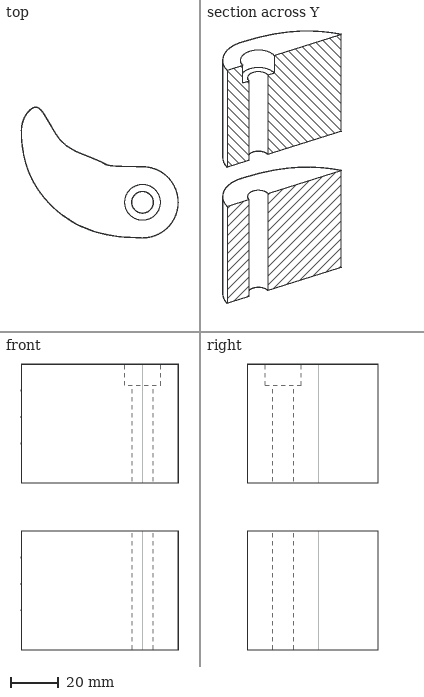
import cadquery as cq

TOTAL_HEIGHT = 120.0
BLADE_HEIGHT = TOTAL_HEIGHT * 5 / 12
UPPER_BASE = TOTAL_HEIGHT - BLADE_HEIGHT

PIVOT_RADIUS = 15.0
BORE_DIAMETER = 9.0
COUNTERBORE_DIAMETER = PIVOT_RADIUS
COUNTERBORE_DEPTH = BORE_DIAMETER

HORN_POINTS = [
    (-34.9, -4.5),
    (-46.7, 10.2),
    (-50.9, 28.0),
    (-49.2, 36.4),
    (-44.6, 40.0),
    (-40.7, 36.1),
    (-31.9, 23.8),
    (-17.4, 17.0),
]


def blade_blank(base_height):
    """Horn-shaped prism with a half-round pivot end."""
    pivot_bottom = (0, -PIVOT_RADIUS)
    pivot_top = (0, PIVOT_RADIUS)
    return (
        cq.Workplane("XY", origin=(0, 0, base_height))
        .moveTo(*pivot_bottom)
        .spline([*HORN_POINTS, pivot_top], tangents=[(-1, 0), (1, 0)], includeCurrent=True)
        .threePointArc((PIVOT_RADIUS, 0), pivot_bottom)
        .close()
        .extrude(BLADE_HEIGHT)
    )


def pivot_workplane(blade):
    """Plane on the top face, centred on the pivot axis."""
    return blade.faces(">Z").workplane(origin=(0, 0, 0))


def make_lower_blade():
    """Blade with a plain through bore."""
    return pivot_workplane(blade_blank(0)).hole(BORE_DIAMETER)


def make_upper_blade():
    """Blade with a through bore counterbored from the top."""
    return pivot_workplane(blade_blank(UPPER_BASE)).cboreHole(
        BORE_DIAMETER, COUNTERBORE_DIAMETER, COUNTERBORE_DEPTH
    )


lower_blade = make_lower_blade()
upper_blade = make_upper_blade()

result = cq.Compound.makeCompound([lower_blade.val(), upper_blade.val()])